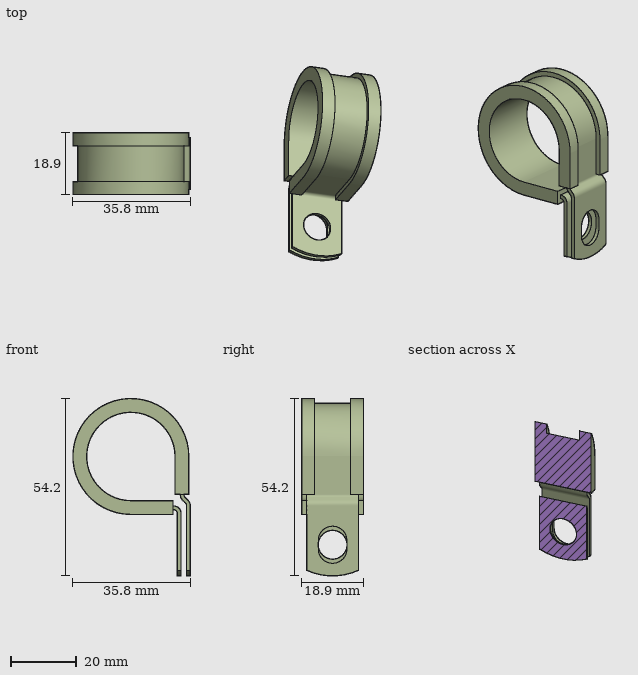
import cadquery as cq
import math

outer_radius = 17.7
wall = 4.3
inner_radius = outer_radius - wall
cushion_width = 18.9
upper_end_z = -11.55
lower_end_x = 12.9

groove_depth = 1.45
groove_width = 10.9
groove_radius = outer_radius - groove_depth

thickness = 1.2
tab_width = 15.9
tab_bottom_z = -36.45
right_tab_face_x = 18.15
left_tab_face_x = 15.35
tab_tip_rise = 1.75
bend_radius = 1.7
jog_angle = math.radians(45)
jog_straight = 0.15
embed = 1.1
hole_diameter = 8.7
slot_travel = 2.6
hole_z = -26.95


def ring_outline(radius):
    """Closed XZ outline of a disc that runs on straight to both cushion ends."""
    diagonal = radius * math.sqrt(0.5)
    return (
        cq.Workplane("XZ")
        .moveTo(radius, upper_end_z)
        .lineTo(radius, 0)
        .threePointArc((-diagonal, diagonal), (0, -radius))
        .lineTo(lower_end_x, -radius)
        .lineTo(lower_end_x, upper_end_z)
        .close()
    )


def make_cushion():
    half_width = cushion_width / 2
    flanged = ring_outline(outer_radius).extrude(half_width, both=True)
    core = ring_outline(groove_radius).extrude(groove_width / 2, both=True)
    groove = ring_outline(outer_radius).extrude(groove_width / 2, both=True).cut(core)
    inner_diagonal = inner_radius * math.sqrt(0.5)
    bore = (
        cq.Workplane("XZ")
        .moveTo(inner_radius, upper_end_z)
        .lineTo(inner_radius, 0)
        .threePointArc((-inner_diagonal, inner_diagonal), (0, -inner_radius))
        .lineTo(inner_radius, -inner_radius)
        .close()
        .extrude(half_width, both=True)
    )
    return flanged.cut(groove).cut(bore)


def sweep_strip(path, start_x, start_z):
    """Sweep the tab section along an XZ path that starts vertically."""
    section = cq.Workplane("XY", origin=(start_x, 0, start_z)).rect(thickness, tab_width)
    return section.sweep(path)


def make_right_tab():
    """Tab that leaves the upper end and jogs outwards through two equal bends."""
    start_x = groove_radius - thickness / 2
    tab_x = right_tab_face_x - thickness / 2
    start_z = upper_end_z + embed
    jog_z = upper_end_z - jog_straight
    bend_dx = bend_radius * (1 - math.cos(jog_angle))
    bend_dz = bend_radius * math.sin(jog_angle)
    slope_dz = (tab_x - start_x - 2 * bend_dx) / math.tan(jog_angle)
    slope_top_z = jog_z - bend_dz
    slope_bottom_z = slope_top_z - slope_dz
    path = (
        cq.Workplane("XZ")
        .moveTo(start_x, start_z)
        .lineTo(start_x, jog_z)
        .tangentArcPoint((start_x + bend_dx, slope_top_z), relative=False)
        .lineTo(tab_x - bend_dx, slope_bottom_z)
        .tangentArcPoint((tab_x, slope_bottom_z - bend_dz), relative=False)
        .lineTo(tab_x, tab_bottom_z)
    )
    return sweep_strip(path, start_x, start_z)


def make_left_tab():
    """Tab that rises to the lower end and turns into it through a right angle."""
    tab_x = left_tab_face_x - thickness / 2
    strap_z = -groove_radius + thickness / 2
    path = (
        cq.Workplane("XZ")
        .moveTo(tab_x, tab_bottom_z)
        .lineTo(tab_x, strap_z - bend_radius)
        .tangentArcPoint((tab_x - bend_radius, strap_z), relative=False)
        .lineTo(lower_end_x - embed, strap_z)
    )
    return sweep_strip(path, tab_x, tab_bottom_z)


def tab_opening_plane():
    return cq.Workplane("YZ").center(0, hole_z)


def make_tab_silhouette():
    """Prism along X with the rounded tab tip, used to trim a tab."""
    half_width = tab_width / 2
    corner_z = tab_bottom_z + tab_tip_rise
    return (
        cq.Workplane("YZ")
        .moveTo(-half_width, 0)
        .lineTo(-half_width, corner_z)
        .threePointArc((0, tab_bottom_z), (half_width, corner_z))
        .lineTo(half_width, 0)
        .close()
        .extrude(right_tab_face_x)
    )


bolt_hole = tab_opening_plane().circle(hole_diameter / 2).extrude(right_tab_face_x)
bolt_slot = (
    tab_opening_plane()
    .slot2D(hole_diameter + slot_travel, hole_diameter, 90)
    .extrude(right_tab_face_x)
)
silhouette = make_tab_silhouette()
right_tab = make_right_tab().intersect(silhouette).cut(bolt_slot)
left_tab = make_left_tab().intersect(silhouette).cut(bolt_hole)
result = make_cushion().union(right_tab).union(left_tab)